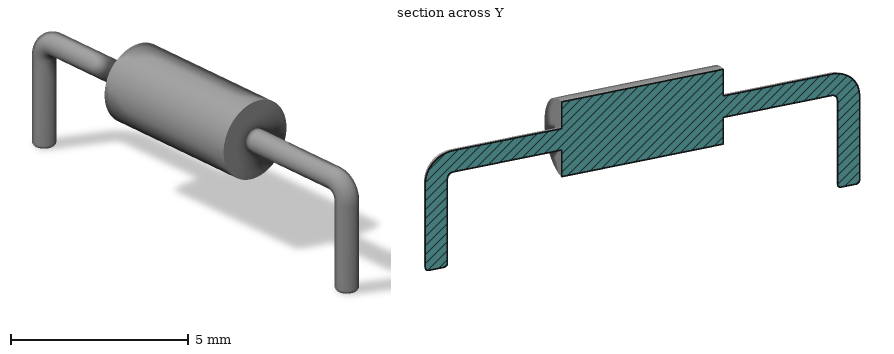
import cadquery as cq

overall_length = 13.4
body_diameter = 2.4
body_length = 5.0
wire_diameter = 0.7
bend_radius = 0.52
lead_drop = 3.32
tip_rounding = 0.12

wire_radius = wire_diameter / 2
lead_x = overall_length / 2 - wire_radius


def make_body():
    left_end = cq.Workplane("YZ", origin=(-body_length / 2, 0, 0))
    return left_end.circle(body_diameter / 2).extrude(body_length)


def make_wire():
    """One continuous wire: up the left lead, through the body, down the right lead."""
    path = (
        cq.Workplane("XZ")
        .moveTo(-lead_x, -lead_drop)
        .lineTo(-lead_x, -bend_radius)
        .radiusArc((-lead_x + bend_radius, 0), bend_radius)
        .lineTo(lead_x - bend_radius, 0)
        .radiusArc((lead_x, -bend_radius), bend_radius)
        .lineTo(lead_x, -lead_drop)
    )
    section = cq.Workplane("XY", origin=(-lead_x, 0, -lead_drop)).circle(wire_radius)
    wire = section.sweep(path)
    return wire.faces("<Z").edges().fillet(tip_rounding)


result = make_body().union(make_wire())